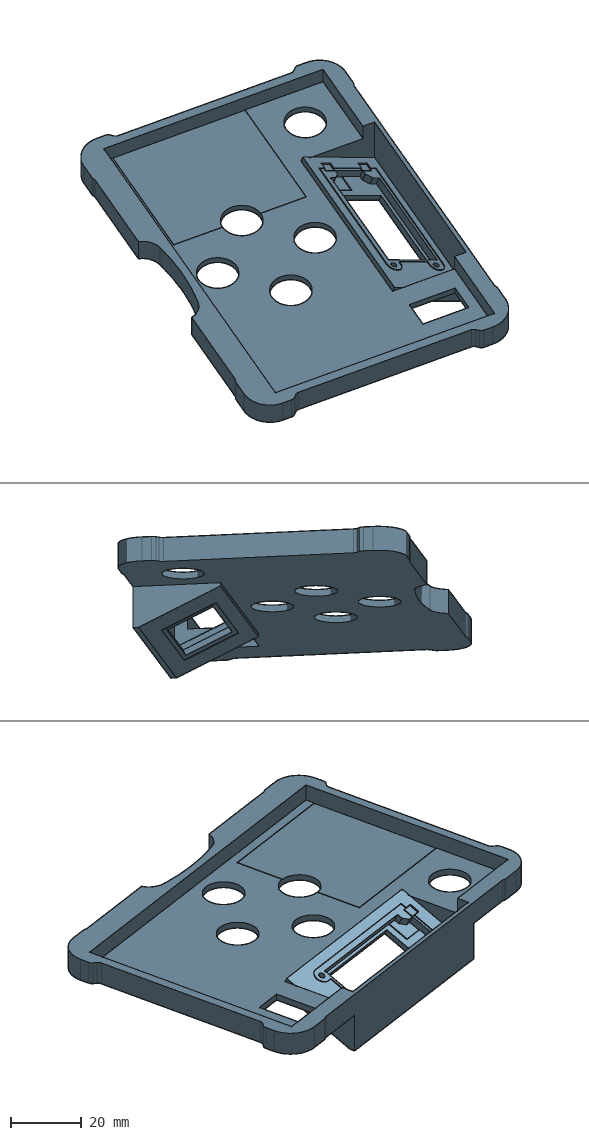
import cadquery as cq
import math

LENGTH = 117.0
WIDTH = 83.0
TRAY_HEIGHT = 7.0
TOTAL_HEIGHT = 19.0
FLOOR = 2.0
SIDE_INSET = 1.8
LONG_INSET = 0.4
CORNER_RADIUS = 8.2
BLEND_RADIUS = 1.6
BULGE_ON_LONG_EDGE = 13.2
LONG_BLEND = 1.4
BULGE_ON_END_EDGE = 11.0

RIM_X = 53.9
RIM_BACK = 36.2
RIM_FRONT = -33.3

NOTCH_HALF_WIDTH = 16.7
NOTCH_SHOULDER_X = 11.9
NOTCH_PEAK_Y = -35.7
NOTCH_SAG = 1.0

BUTTON_DIAMETER = 12.0
PAD_CENTER_Y = -9.0
PAD_SPACING = 15.5
KNOB_HOLE = (-41.9, 24.5)
SLOT_CENTER = (39.9, 25.6)
SLOT_SIZE = (8.5, 14.5)
RECESS_X = (-RIM_X, -15.6)
RECESS_Y = (-30.5, 11.5)
RECESS_DEPTH = 0.1

TILT = 25.0
HOUSING_HALF = 29.7
SIDE_WALL = 0.9
BACK_WALL = 1.3
HOUSING_FRONT = 15.9
SLOPE_START_Z = -0.9
SLAB = 4.3
SLAB_START = -0.7

BOARD_X = (-24.1, 17.3)
BOARD_RUN = (2.5, 22.2)
BOARD_DEPTH = 0.2
WELL_X = (-23.3, 16.3)
WELL_RUN = (4.3, 21.3)
WINDOW_FLOOR = 1.9
WINDOW_HALF = 14.7
WINDOW_RUN = (5.3, 20.0)
EAR_RADIUS = 2.5
EAR_X = 18.5
SCREW_DIAMETER = 1.8
SCREW_DEPTH = 2.1
POST_LENGTH = 3.3
UPPER_POST_WIDTH = 4.0
LOWER_POST_WIDTH = 3.3
POST_CHAMFER = 1.6
CLIP_X = (-26.2, WELL_X[0])
CLIP_RUNS = ((WELL_RUN[0], 7.5), (17.2, 20.4))
CLIP_DEPTH = 0.5
RELIEF_X = (WELL_X[0], -17.2)
RELIEF_RUN = (WELL_RUN[0], 11.1)
RELIEF_DEPTH = 0.2
BEZEL_X = (-17.1, 18.1)
BEZEL_RUN = (4.0, 21.2)
BEZEL_DEPTH = 0.1

HALF_LENGTH = LENGTH / 2
HALF_WIDTH = WIDTH / 2
BACK_EDGE = HALF_WIDTH - LONG_INSET
END_EDGE = HALF_LENGTH - SIDE_INSET
BOTTOM_Z = TRAY_HEIGHT - TOTAL_HEIGHT
SIN_TILT = math.sin(math.radians(TILT))
COS_TILT = math.cos(math.radians(TILT))
CAVITY_HALF = HOUSING_HALF - SIDE_WALL
CAVITY_BACK = BACK_EDGE - BACK_WALL
BOARD_LEVEL = SLAB - BOARD_DEPTH
RELIEF_LEVEL = WINDOW_FLOOR - RELIEF_DEPTH
CAVITY_FRONT = HOUSING_FRONT + (SLAB_START + (FLOOR - SLOPE_START_Z) * SIN_TILT) / COS_TILT


def block(x_range, y_range, z_range):
    """Axis-aligned box given by its limits."""
    return (
        cq.Workplane("XY", origin=(0, 0, z_range[0]))
        .moveTo(sum(x_range) / 2, sum(y_range) / 2)
        .rect(x_range[1] - x_range[0], y_range[1] - y_range[0])
        .extrude(z_range[1] - z_range[0])
    )


def slope_plane(level):
    """Workplane parallel to the slope: x along X, y down the slope, level above the outer slope."""
    origin = (0, HOUSING_FRONT + level * SIN_TILT, SLOPE_START_Z + level * COS_TILT)
    return cq.Workplane(cq.Plane(origin=origin, xDir=(1, 0, 0), normal=(0, SIN_TILT, COS_TILT)))


def slope_block(x_range, run, levels):
    """Box aligned with the slope."""
    return (
        slope_plane(levels[0])
        .moveTo(sum(x_range) / 2, sum(run) / 2)
        .rect(x_range[1] - x_range[0], run[1] - run[0])
        .extrude(levels[1] - levels[0])
    )


def tray_blank():
    """Solid tray outline: one quarter with its corner bulge, mirrored twice."""
    bulge_x = HALF_LENGTH - BULGE_ON_LONG_EDGE
    bulge_y = HALF_WIDTH - BULGE_ON_END_EDGE
    arc_run = BLEND_RADIUS * math.sin(math.pi / 4)
    arc_drop = BLEND_RADIUS - arc_run
    ramp = SIDE_INSET - 2 * arc_drop
    quarter = (
        cq.Workplane("XY")
        .lineTo(0, BACK_EDGE)
        .lineTo(bulge_x - LONG_BLEND, BACK_EDGE)
        .tangentArcPoint((bulge_x - LONG_BLEND / 2, HALF_WIDTH - LONG_INSET / 2), relative=False)
        .tangentArcPoint((bulge_x, HALF_WIDTH), relative=False)
        .lineTo(HALF_LENGTH - CORNER_RADIUS, HALF_WIDTH)
        .tangentArcPoint((CORNER_RADIUS, -CORNER_RADIUS))
        .lineTo(HALF_LENGTH, bulge_y)
        .tangentArcPoint((-arc_drop, -arc_run))
        .line(-ramp, -ramp)
        .tangentArcPoint((-arc_drop, -arc_run))
        .lineTo(END_EDGE, 0)
        .close()
        .extrude(TRAY_HEIGHT)
    )
    half = quarter.union(quarter.mirror("YZ"))
    return half.union(half.mirror("XZ")).clean()


def finger_notch():
    """Shallow arc that turns into a tighter tangent arc on each side."""
    arc_radius = (NOTCH_SHOULDER_X**2 + NOTCH_SAG**2) / (2 * NOTCH_SAG)
    half_angle = math.asin(NOTCH_SHOULDER_X / arc_radius) / 2
    middle = (
        arc_radius * math.sin(half_angle),
        NOTCH_PEAK_Y - arc_radius * (1 - math.cos(half_angle)),
    )
    half = (
        cq.Workplane("XY")
        .moveTo(0, NOTCH_PEAK_Y)
        .threePointArc(middle, (NOTCH_SHOULDER_X, NOTCH_PEAK_Y - NOTCH_SAG))
        .tangentArcPoint((NOTCH_HALF_WIDTH, -BACK_EDGE), relative=False)
        .lineTo(0, -BACK_EDGE)
        .close()
        .extrude(TRAY_HEIGHT)
    )
    return half.union(half.mirror("YZ")).clean()


def floor_openings():
    """Four buttons in a cross, the knob hole and the rectangular slot."""
    buttons = [
        (0, PAD_CENTER_Y + PAD_SPACING),
        (0, PAD_CENTER_Y - PAD_SPACING),
        (PAD_SPACING, PAD_CENTER_Y),
        (-PAD_SPACING, PAD_CENTER_Y),
    ]
    holes = cq.Workplane("XY").pushPoints(buttons + [KNOB_HOLE]).circle(BUTTON_DIAMETER / 2).extrude(FLOOR)
    slot = cq.Workplane("XY").center(*SLOT_CENTER).rect(*SLOT_SIZE).extrude(FLOOR)
    return holes.union(slot)


def housing_body():
    """Wedge below the tray; its tip is cut off level at the bottom."""
    tip_y = HOUSING_FRONT + (SLOPE_START_Z - BOTTOM_Z) * COS_TILT / SIN_TILT
    profile = [
        (HOUSING_FRONT, FLOOR),
        (HOUSING_FRONT, SLOPE_START_Z),
        (tip_y, BOTTOM_Z),
        (BACK_EDGE, BOTTOM_Z),
        (BACK_EDGE, FLOOR),
    ]
    return cq.Workplane("YZ").polyline(profile).close().extrude(HOUSING_HALF, both=True)


def housing_cavity():
    """Space inside the housing, open at the top and cut into the back rim."""
    across = (-CAVITY_HALF, CAVITY_HALF)
    cavity = block(across, (CAVITY_FRONT, CAVITY_BACK), (BOTTOM_Z, TRAY_HEIGHT))
    sloped_floor = slope_block(across, (SLAB_START, WIDTH), (-TOTAL_HEIGHT, SLAB))
    return cavity.cut(sloped_floor)


def slab_lip():
    """Upper end of the sloped floor, which stands above the tray floor."""
    across = (-CAVITY_HALF, CAVITY_HALF)
    slab_end = slope_block(across, (SLAB_START, BOARD_RUN[0]), (0, SLAB))
    return slab_end.intersect(block(across, (HOUSING_FRONT, CAVITY_BACK), (SLOPE_START_Z, TRAY_HEIGHT)))


def corner_post(wall, free):
    """Board support in a left corner of the well, from its wall to its free side, with a chamfer."""
    end = WELL_X[0] + POST_LENGTH
    bevel = math.copysign(POST_CHAMFER, wall - free)
    outline = [
        (WELL_X[0], wall),
        (end, wall),
        (end, free + bevel),
        (end - POST_CHAMFER, free),
        (WELL_X[0], free),
    ]
    return slope_plane(RELIEF_LEVEL).polyline(outline).close().extrude(BOARD_LEVEL - RELIEF_LEVEL)


def slope_cylinder(x, run, radius, levels):
    """Cylinder square to the slope."""
    return slope_plane(levels[0]).center(x, run).circle(radius).extrude(levels[1] - levels[0])


def board_recess():
    """Shallow seat for the board, with two round screw ears and two clip pockets."""
    levels = (BOARD_LEVEL, SLAB)
    recess = slope_block(BOARD_X, BOARD_RUN, levels)
    for run in (BOARD_RUN[0] + EAR_RADIUS, BOARD_RUN[1] - EAR_RADIUS):
        ear = slope_block((WELL_X[1], EAR_X), (run - EAR_RADIUS, run + EAR_RADIUS), levels)
        tip = slope_cylinder(EAR_X, run, EAR_RADIUS, levels)
        screw = slope_cylinder(EAR_X, run, SCREW_DIAMETER / 2, (BOARD_LEVEL - SCREW_DEPTH, SLAB))
        recess = recess.union(ear).union(tip).union(screw)
    for run in CLIP_RUNS:
        recess = recess.union(slope_block(CLIP_X, run, (SLAB - CLIP_DEPTH, SLAB)))
    return recess


def display_well():
    """Deep well with two corner posts and a shallow relief in its floor."""
    well = slope_block(WELL_X, WELL_RUN, (WINDOW_FLOOR, SLAB))
    relief = slope_block(RELIEF_X, RELIEF_RUN, (RELIEF_LEVEL, WINDOW_FLOOR))
    lower_post = corner_post(WELL_RUN[0], WELL_RUN[0] + LOWER_POST_WIDTH)
    upper_post = corner_post(WELL_RUN[1], WELL_RUN[1] - UPPER_POST_WIDTH)
    return well.union(relief).cut(lower_post).cut(upper_post)


def display_window():
    """Window through the well floor, inside a very shallow bezel on the outer slope."""
    window = slope_block((-WINDOW_HALF, WINDOW_HALF), WINDOW_RUN, (0, WINDOW_FLOOR))
    return window.union(slope_block(BEZEL_X, BEZEL_RUN, (0, BEZEL_DEPTH)))


rim_pocket = block((-RIM_X, RIM_X), (RIM_FRONT, RIM_BACK), (FLOOR, TRAY_HEIGHT))
floor_recess = block(RECESS_X, RECESS_Y, (FLOOR - RECESS_DEPTH, FLOOR))

tray = tray_blank().cut(finger_notch()).cut(rim_pocket).cut(floor_recess).cut(floor_openings())
body = tray.union(housing_body()).cut(housing_cavity()).union(slab_lip())
result = body.cut(board_recess()).cut(display_well()).cut(display_window())